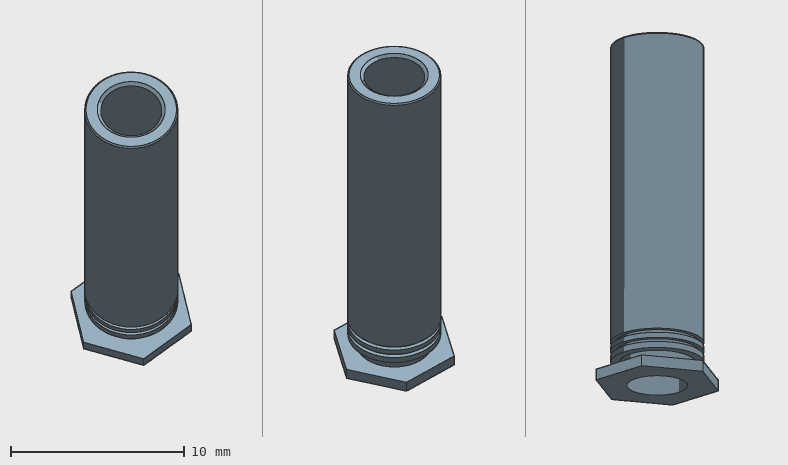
import cadquery as cq

total_height = 20.65
head_across_corners = 7.33
head_thickness = 0.66

body_diameter = 5.39
neck_diameter = 4.38
neck_top = 1.4
groove_diameter = 4.87
groove_width = 0.25
groove_bottoms = (1.78, 2.33)
rim_chamfer = 0.08

bore_diameter = 3.5
mouth_widening = 0.2
mouth_depth = 0.15


def cylinder(diameter, bottom, top):
    """Solid cylinder on the Z axis between two heights."""
    return cq.Workplane("XY").workplane(offset=bottom).circle(diameter / 2).extrude(top - bottom)


def hex_head():
    """Hexagonal flange with two corners on the X axis."""
    return cq.Workplane("XY").polygon(6, head_across_corners).extrude(head_thickness)


def ring_groove(bottom):
    """Ring of material removed from the body to leave a groove."""
    top = bottom + groove_width
    return cylinder(body_diameter, bottom, top).cut(cylinder(groove_diameter, bottom, top))


body = cylinder(body_diameter, neck_top, total_height).faces(">Z").edges().chamfer(rim_chamfer)
neck = cylinder(neck_diameter, head_thickness, neck_top)
standoff = hex_head().union(neck).union(body)

for groove_bottom in groove_bottoms:
    standoff = standoff.cut(ring_groove(groove_bottom))

bore_radius = bore_diameter / 2
mouth = cq.Solid.makeCone(
    bore_radius,
    bore_radius + mouth_widening,
    mouth_depth,
    pnt=cq.Vector(0, 0, total_height - mouth_depth),
)
result = standoff.cut(cylinder(bore_diameter, 0, total_height)).cut(cq.Workplane(mouth))